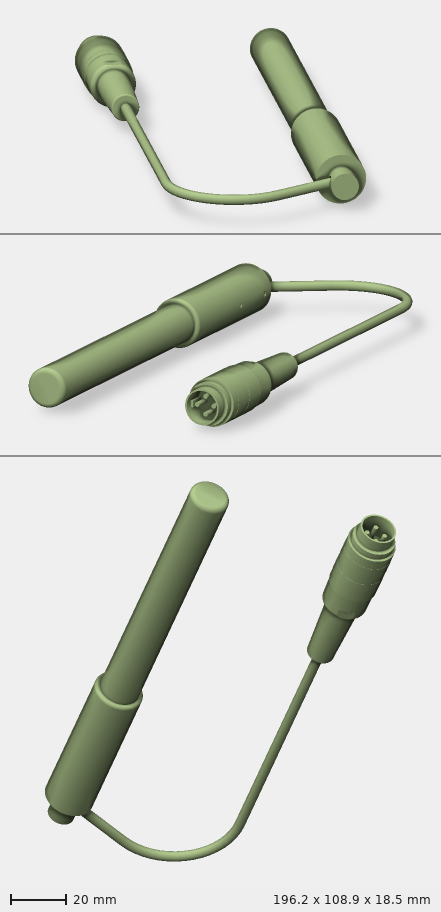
import cadquery as cq
import math

ASSEMBLY_TURN = -13.15
PROBE_OFFSET = 63.5

NOSE_DIA = 13.5
NOSE_LENGTH = 4.7
NECK_DIA = 13.0
NECK_LENGTH = 0.4
COLLAR_DIA = 16.0
COLLAR_END = 7.8
GRIP_DIA = 18.2
BAND_DIA = 18.0
GRIP_RINGS = [(12.2, 17.8), (21.0, 26.9)]
GRIP_END = 30.8
SHELL_FRONT_DIA = 17.5
SHELL_REAR_DIA = 16.7
SHELL_END = 42.4
SHELL_ROUND = 2.0
BOOT_ROOT_DIA = 12.7
BOOT_TIP_DIA = 10.2
BOOT_END = 70.2
BOOT_ROUND = 0.5
FLAT_START = 37.5
FLAT_HEIGHT = 7.8
SOCKET_DIA = 12.2
SOCKET_DEPTH = 9.8
PIN_COUNT = 4
PIN_DIA = 1.8
PIN_LENGTH = 6.9
PIN_CIRCLE_RADIUS = 3.3
KEY_WIDTH = 2.5
KEY_HEIGHT = 1.2
KEY_SETBACK = 3.0

ROD_DIA = 15.0
ROD_START = 1.2
ROD_ROUND = 1.8
HANDLE_DIA = 18.5
HANDLE_START = 110.6
HANDLE_END = 171.2
HANDLE_ROUND = 1.2
OUTLET_DIA = 10.0
OUTLET_LENGTH = 9.8
SMALL_HOLE_DIA = 1.5
SMALL_HOLE_SETBACK = 25.3
SMALL_HOLE_DEPTH = 1.0
LARGE_HOLE_DIA = 2.2
LARGE_HOLE_SETBACK = 5.3
LARGE_HOLE_DEPTH = 3.0

CABLE_DIA = 3.7
BEND_START = 166.5
BEND_RADIUS = 25.0
BEND_ANGLE = 120.6
CABLE_HOLE_DIA = 5.0


def cylinder(start, end, diameter, offset=0.0):
    """Cylinder along X between two stations, its axis moved sideways by offset."""
    return (
        cq.Workplane("YZ", origin=(start, offset, 0))
        .circle(diameter / 2)
        .extrude(end - start)
    )


def section(start, end, front_dia, rear_dia):
    """Turned section along X; equal diameters give a cylinder, others a cone."""
    outline = [(start, 0), (start, front_dia / 2), (end, rear_dia / 2), (end, 0)]
    return cq.Workplane("XY").polyline(outline).close().revolve(360, (0, 0, 0), (1, 0, 0))


def make_shell():
    shell = section(GRIP_END, SHELL_END, SHELL_FRONT_DIA, SHELL_REAR_DIA)
    shell = shell.faces(">X").edges().fillet(SHELL_ROUND)
    flat_length = SHELL_END - FLAT_START
    for side in (1, -1):
        waste = cq.Workplane("XY").box(flat_length, GRIP_DIA, GRIP_DIA).translate(
            (FLAT_START + flat_length / 2, 0, side * (FLAT_HEIGHT + GRIP_DIA / 2))
        )
        shell = shell.cut(waste)
    return shell


def socket_space():
    """Space inside the pin socket: a bore with a key rib left standing along its wall."""
    key_length = SOCKET_DEPTH - KEY_SETBACK
    key = (
        cq.Workplane("XY")
        .box(key_length, SOCKET_DIA, KEY_WIDTH, centered=(False, False, True))
        .translate((KEY_SETBACK, SOCKET_DIA / 2 - KEY_HEIGHT, 0))
    )
    return cylinder(0, SOCKET_DEPTH, SOCKET_DIA).cut(key)


def make_connector():
    neck_end = NOSE_LENGTH + NECK_LENGTH
    body = cylinder(0, NOSE_LENGTH, NOSE_DIA)
    body = body.union(cylinder(NOSE_LENGTH, neck_end, NECK_DIA))
    body = body.union(cylinder(neck_end, COLLAR_END, COLLAR_DIA))
    body = body.union(cylinder(COLLAR_END, GRIP_END, BAND_DIA))
    for ring_start, ring_end in GRIP_RINGS:
        body = body.union(cylinder(ring_start, ring_end, GRIP_DIA))
    body = body.union(make_shell())

    boot = section(SHELL_END, BOOT_END, BOOT_ROOT_DIA, BOOT_TIP_DIA)
    body = body.union(boot.faces(">X").edges().fillet(BOOT_ROUND))

    body = body.cut(socket_space())
    pins = (
        cq.Workplane("YZ", origin=(SOCKET_DEPTH, 0, 0))
        .polarArray(PIN_CIRCLE_RADIUS, 0, 360, PIN_COUNT)
        .circle(PIN_DIA / 2)
        .extrude(-PIN_LENGTH)
    )
    return body.union(pins)


def make_rod():
    rod = cylinder(ROD_START, HANDLE_START, ROD_DIA, PROBE_OFFSET)
    return rod.faces("<X").edges().fillet(ROD_ROUND)


def handle_hole(setback, diameter, depth):
    """Blind hole in the side of the handle that faces the connector."""
    surface = PROBE_OFFSET - HANDLE_DIA / 2
    start = (HANDLE_END - setback, surface - depth, 0)
    return cq.Workplane("XZ", origin=start).circle(diameter / 2).extrude(-2 * depth)


def make_handle():
    handle = cylinder(HANDLE_START, HANDLE_END, HANDLE_DIA, PROBE_OFFSET)
    handle = handle.faces("<X").edges().fillet(HANDLE_ROUND)
    handle = handle.cut(handle_hole(SMALL_HOLE_SETBACK, SMALL_HOLE_DIA, SMALL_HOLE_DEPTH))
    return handle.cut(handle_hole(LARGE_HOLE_SETBACK, LARGE_HOLE_DIA, LARGE_HOLE_DEPTH))


bend = math.radians(BEND_ANGLE)
half_bend = bend / 2
bend_middle = (
    BEND_START + BEND_RADIUS * math.sin(half_bend),
    BEND_RADIUS * (1 - math.cos(half_bend)),
)
bend_end = (
    BEND_START + BEND_RADIUS * math.sin(bend),
    BEND_RADIUS * (1 - math.cos(bend)),
)
final_run = (PROBE_OFFSET - bend_end[1]) / math.sin(bend)
cable_end = (bend_end[0] + final_run * math.cos(bend), PROBE_OFFSET)


def make_cable():
    path = (
        cq.Workplane("XY")
        .moveTo(BOOT_END, 0)
        .lineTo(BEND_START, 0)
        .threePointArc(bend_middle, bend_end)
        .lineTo(*cable_end)
    )
    return cq.Workplane("YZ", origin=(BOOT_END, 0, 0)).circle(CABLE_DIA / 2).sweep(path)


def make_outlet():
    outlet = cylinder(HANDLE_END, HANDLE_END + OUTLET_LENGTH, OUTLET_DIA, PROBE_OFFSET)
    toward_bend = cq.Vector(-math.cos(bend), -math.sin(bend), 0)
    hole = cq.Solid.makeCylinder(
        CABLE_HOLE_DIA / 2, final_run, cq.Vector(*cable_end, 0), toward_bend
    )
    return outlet.cut(cq.Workplane(hole))


connector = make_connector()
rod = make_rod()
handle = make_handle()
outlet = make_outlet()
cable = make_cable()

assembly = cq.Compound.makeCompound(
    [connector.val(), rod.val(), handle.val(), outlet.val(), cable.val()]
)
result = assembly.rotate(cq.Vector(0, 0, 0), cq.Vector(0, 0, 1), ASSEMBLY_TURN)